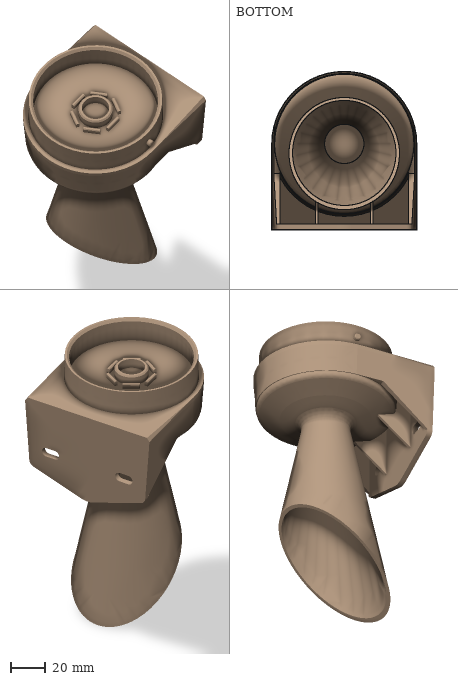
import cadquery as cq
import math


housing_radius = 42.5
draft = math.tan(math.radians(4))
band_bottom = -2.5
housing_wall_bottom = -20.0
base_radius = 40.9
base_bottom = -23.2
base_fillet = 2.9
underside_ring_radius = 27.1
underside_ring_z = -28.3
underside_slope = math.tan(math.radians(16.3))

cup_top = 15.5
cup_floor = 0.7
cup_base_radius = 39.7
cup_top_radius = 39.2
mouth_chamfer = 1.4
cup_bore_radius = 36.6

boss_radius = 10.0
boss_chamfer = 0.8
boss_bore_radius = 8.0
boss_height = 6.1
blade_count = 6
blade_inner_face = 12.0
blade_thickness = 2.0
blade_length = 10.2
blade_height = 3.0
blade_chamfer = 0.5

pin_radius = 2.0
pin_tip = 42.0
pin_y = 0.8
pin_z = 6.3
pin_chamfer = 0.5
pin_root = 38.7

overall_height = 169.6
horn_tip = cup_top - overall_height
horn_top_radius = 13.5
horn_flare = math.tan(math.radians(11.6))
horn_wall = 2.0
neck_fillet = 5.1
mouth_slope = math.tan(math.radians(40))

bracket_back = 50.4
bracket_bottom = -60.2
bracket_point_fillet = 12.7
back_plate_thickness = 3.4
back_plate_corner = -46.8
back_plate_fillet = 4.2
side_wall_bottom = -44.0
side_wall_front = 17.5
side_wall_inner = 37.8
rib_inner = 15.3
rib_outer = 17.0
top_plate_thickness = 3.4
slot_x = 25.1
slot_z = -34.5
slot_length = 11.7
slot_height = 6.0

bevel_start = 7.6
bevel_width = 1.7
bevel_depth = 2.4

selection_margin = 0.2

housing_wall_bottom_radius = housing_radius + (housing_wall_bottom - band_bottom) * draft
horn_top = underside_ring_z - (underside_ring_radius - horn_top_radius) * underside_slope
horn_tip_radius = horn_top_radius + (horn_top - horn_tip) * horn_flare
bracket_inner_face = bracket_back - back_plate_thickness


def box(x_min, x_max, y_min, y_max, z_min, z_max):
    size = (x_max - x_min, y_max - y_min, z_max - z_min)
    return cq.Workplane("XY").box(*size, centered=False).translate((x_min, y_min, z_min))


def revolve_profile(points):
    """Revolve a closed (radius, z) outline about the Z axis."""
    return cq.Workplane("XZ").polyline(points).close().revolve(360, (0, 0), (0, 1))


def round_edges_at(shape, z, radius):
    """Fillet the edges whose centre lies at height z."""
    reach = housing_radius
    low = (-reach, -reach, z - selection_margin)
    high = (reach, bracket_back, z + selection_margin)
    return shape.edges("|Y or %CIRCLE").edges(cq.selectors.BoxSelector(low, high)).fillet(radius)


def make_housing_and_horn():
    body = revolve_profile([
        (0, 0),
        (housing_radius, 0),
        (housing_radius, band_bottom),
        (housing_wall_bottom_radius, housing_wall_bottom),
        (base_radius, housing_wall_bottom),
        (base_radius, base_bottom),
        (underside_ring_radius, underside_ring_z),
        (horn_top_radius, horn_top),
        (horn_tip_radius, horn_tip),
        (0, horn_tip),
    ])

    body = round_edges_at(body, base_bottom, base_fillet)
    body = round_edges_at(body, horn_top, neck_fillet)

    bore = revolve_profile([
        (0, horn_top),
        (horn_top_radius - horn_wall, horn_top),
        (horn_tip_radius - horn_wall, horn_tip),
        (0, horn_tip),
    ])

    mouth_span = 2 * horn_tip_radius
    below_mouth = (
        cq.Workplane("YZ")
        .polyline([
            (horn_tip_radius, horn_tip),
            (horn_tip_radius - mouth_span, horn_tip + mouth_span * mouth_slope),
            (horn_tip_radius - mouth_span, horn_tip),
        ])
        .close()
        .extrude(horn_tip_radius, both=True)
    )
    return body.cut(bore).cut(below_mouth)


def make_cup():
    return revolve_profile([
        (0, 0),
        (cup_base_radius, 0),
        (cup_top_radius, cup_top),
        (cup_bore_radius + mouth_chamfer, cup_top),
        (cup_bore_radius, cup_top - mouth_chamfer),
        (cup_bore_radius, cup_floor),
        (0, cup_floor),
    ])


def make_boss():
    boss_top = cup_floor + boss_height
    return revolve_profile([
        (boss_bore_radius, cup_floor),
        (boss_radius, cup_floor),
        (boss_radius, boss_top - boss_chamfer),
        (boss_radius - boss_chamfer, boss_top),
        (boss_bore_radius, boss_top),
    ])


def make_blades():
    blade = box(
        blade_inner_face, blade_inner_face + blade_thickness,
        -blade_length / 2, blade_length / 2,
        cup_floor, cup_floor + blade_height,
    )
    blade = blade.faces(">Z").edges("|Y").chamfer(blade_chamfer)
    blades = blade
    for index in range(1, blade_count):
        angle = index * 360 / blade_count
        blades = blades.union(blade.rotate((0, 0, 0), (0, 0, 1), angle))
    return blades


def make_pin():
    return (
        cq.Workplane("YZ", origin=(pin_root, pin_y, pin_z))
        .circle(pin_radius)
        .extrude(pin_tip - pin_root)
        .faces(">X")
        .chamfer(pin_chamfer)
    )


def bevel_side(bracket, side):
    """Trim one upper side edge with a plane that leans in further towards the back."""
    edge_x = side * housing_radius
    run_out = cq.Vector(edge_x, bevel_start, 0)
    back_top = cq.Vector(edge_x - side * bevel_width, bracket_back, 0)
    back_side = cq.Vector(edge_x, bracket_back, -bevel_depth)
    along = back_top - run_out
    outward = (back_side - run_out).cross(along) * side
    size = 2 * bracket_back
    waste = (
        cq.Workplane(cq.Plane(run_out, xDir=along, normal=outward))
        .rect(size, size)
        .extrude(size)
    )
    return bracket.cut(waste)


def make_bracket():
    corner_x = housing_radius + (back_plate_corner - band_bottom) * draft
    front_outline = (
        cq.Workplane("XZ")
        .polyline([
            (-housing_radius, 0),
            (housing_radius, 0),
            (housing_radius, band_bottom),
            (corner_x, back_plate_corner),
            (0, bracket_bottom),
            (-corner_x, back_plate_corner),
            (-housing_radius, band_bottom),
        ])
        .close()
        .extrude(-bracket_back)
    )
    front_outline = round_edges_at(front_outline, back_plate_corner, back_plate_fillet)
    front_outline = round_edges_at(front_outline, bracket_bottom, bracket_point_fillet)

    side_outline = (
        cq.Workplane("YZ")
        .polyline([
            (0, 0),
            (bracket_back, 0),
            (bracket_back, bracket_bottom),
            (bracket_inner_face, bracket_bottom),
            (bracket_inner_face, side_wall_bottom),
            (side_wall_front, housing_wall_bottom),
            (0, housing_wall_bottom),
        ])
        .close()
        .extrude(housing_radius, both=True)
    )
    bracket = front_outline.intersect(side_outline)

    bays = [
        (-side_wall_inner, -rib_outer),
        (-rib_inner, rib_inner),
        (rib_outer, side_wall_inner),
    ]
    for x_min, x_max in bays:
        bay = box(x_min, x_max, 0, bracket_inner_face, bracket_bottom, -top_plate_thickness)
        bracket = bracket.cut(bay)

    slots = (
        cq.Workplane("XZ", origin=(0, bracket_inner_face, slot_z))
        .pushPoints([(-slot_x, 0), (slot_x, 0)])
        .slot2D(slot_length, slot_height)
        .extrude(-back_plate_thickness)
    )
    bracket = bracket.cut(slots)

    for side in (-1, 1):
        bracket = bevel_side(bracket, side)
    return bracket


result = (
    make_housing_and_horn()
    .union(make_bracket())
    .union(make_cup())
    .union(make_boss())
    .union(make_blades())
    .union(make_pin())
)